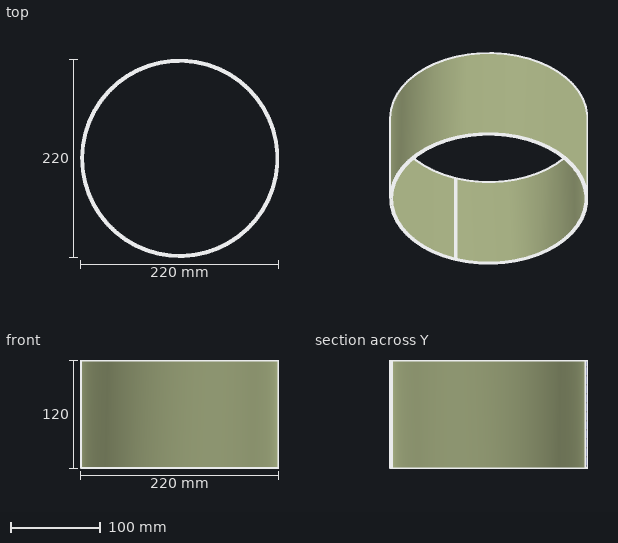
import cadquery as cq

outer_diameter = 220.0
wall_thickness = 2.5
height = 120.0
outer_chamfer = 0.5
inner_chamfer = 0.2
slit_angle = 1.0

outer_radius = outer_diameter / 2
inner_radius = outer_radius - wall_thickness


def make_wall_section():
    """Wall profile in the XZ plane on the -X side, with chamfered rim corners."""
    return (
        cq.Workplane("XZ")
        .moveTo(-outer_radius, outer_chamfer)
        .lineTo(-outer_radius, height - outer_chamfer)
        .lineTo(-outer_radius + outer_chamfer, height)
        .lineTo(-inner_radius - inner_chamfer, height)
        .lineTo(-inner_radius, height - inner_chamfer)
        .lineTo(-inner_radius, inner_chamfer)
        .lineTo(-inner_radius - inner_chamfer, 0)
        .lineTo(-outer_radius + outer_chamfer, 0)
        .close()
    )


def make_split_ring():
    """Sweep the wall around Z, stopping short of a full turn to leave the slit open."""
    sweep_angle = 360 - slit_angle
    return make_wall_section().revolve(sweep_angle, (0, 0, 0), (0, 1, 0))


result = make_split_ring()